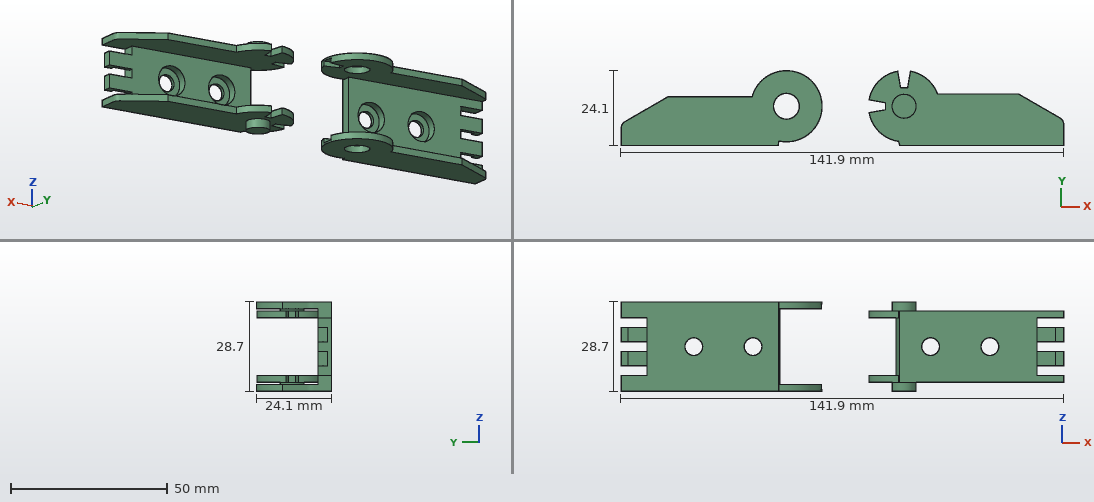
import cadquery as cq
import math


plate_thickness = 4.35
arm_thickness = 2.25
inner_width = 18.4
slope_angle = math.radians(30)
corner_radius = 2.5
pivot_height = 12.65
ear_radius = 11.45

socket_width = 28.7
socket_pivot_x = 53.0
socket_arm_height = 15.7
socket_slope_start_x = 15.0
socket_plate_end = 50.4
socket_plate_end_lean = 0.5
socket_bore_diameter = 8.2

pin_link_end = 141.9
pin_link_width = inner_width + 2 * arm_thickness
pin_pivot_x = 90.7
pin_arm_height = 16.6
pin_slope_start_x = 127.4
pin_plate_end = 89.3
pin_plate_end_lean = 1.2
pin_diameter = 7.7

notch_floor_radius = 6.0
notch_floor_width = 2.2
notch_mouth_width = 4.1
socket_notch_depth = 1.6
socket_notch_angles = (0,)
pin_notch_angles = (90, 180)

screw_diameter = 5.6
screw_land = 1.3
screw_head_diameter = 10.0
screw_spacing = 19.0
socket_first_screw_x = 23.3
pin_first_screw_x = 99.2

finger_count = 2
finger_gap = 3.0
finger_width = (inner_width - (finger_count + 1) * finger_gap) / finger_count
finger_pitch = finger_width + finger_gap
finger_tip_front = 1.3
finger_root_front = 2.7
socket_slot_depth = 8.25
socket_finger_tip = 2.2
pin_slot_depth = 8.6
pin_finger_tip = 2.6


def prism(points, width):
    """Extrude an XY outline symmetrically about Z = 0."""
    return cq.Workplane("XY").polyline(points).close().extrude(width / 2, both=True)


def disc(x, radius, width):
    """Cylinder on a pivot axis, symmetric about Z = 0."""
    return cq.Workplane("XY").center(x, pivot_height).circle(radius).extrude(width / 2, both=True)


def side_arms(free_x, slope_x, pivot_x, arm_height, plate_end, plate_lean, width, gap):
    """Pair of arms with a sloped, rounded free end and a round ear at the pivot."""
    ear_bottom = pivot_height - ear_radius
    heel_x = plate_end + plate_lean * ear_bottom / plate_thickness
    slope_drop = abs(slope_x - free_x) * math.tan(slope_angle)
    corner_height = arm_height - slope_drop
    outline = [
        (free_x, 0),
        (plate_end, 0),
        (heel_x, ear_bottom),
        (pivot_x, pivot_height),
        (pivot_x, arm_height),
        (slope_x, arm_height),
        (free_x, corner_height),
    ]
    corner = cq.NearestToPointSelector((free_x, corner_height, 0))
    arms = prism(outline, width).edges(corner).fillet(corner_radius)
    arms = arms.union(disc(pivot_x, ear_radius, width))
    opening = cq.Workplane("XY").box(2 * pin_link_end, 4 * pivot_height, gap)
    return arms.cut(opening)


def back_plate(free_x, plate_end, plate_lean, width):
    """Plate across the arms, with a leaning edge beside the pivot."""
    return prism(
        [
            (free_x, 0),
            (plate_end, 0),
            (plate_end + plate_lean, plate_thickness),
            (free_x, plate_thickness),
        ],
        width,
    )


def cut_screw_holes(link, first_x):
    """Two through holes along the middle of the back plate, counterbored from the inside."""
    for x in (first_x, first_x + screw_spacing):
        hole = cq.Workplane("XZ").center(x, 0).circle(screw_diameter / 2).extrude(-plate_thickness)
        head = (
            cq.Workplane("XZ", origin=(0, screw_land, 0))
            .center(x, 0)
            .circle(screw_head_diameter / 2)
            .extrude(screw_land - plate_thickness)
        )
        link = link.cut(hole).cut(head)
    return link


def add_fingers(link, free_x, inward, slot_depth, tip_length):
    """Open the plate end and put hooked fingers in it; inward is +1 or -1 along X."""
    slot_x = free_x + inward * slot_depth
    tip_x = free_x + inward * tip_length
    slot = prism(
        [(free_x, 0), (slot_x, 0), (slot_x, plate_thickness), (free_x, plate_thickness)],
        inner_width,
    )
    link = link.cut(slot)
    finger = prism(
        [
            (free_x, finger_tip_front),
            (tip_x, finger_tip_front),
            (tip_x, finger_root_front),
            (slot_x, finger_root_front),
            (slot_x, plate_thickness),
            (free_x, plate_thickness),
        ],
        finger_width,
    )
    for index in range(finger_count):
        offset = (index - (finger_count - 1) / 2) * finger_pitch
        link = link.union(finger.translate((0, 0, offset)))
    return link


def cut_ear_notches(link, pivot_x, angles, width):
    """Tapered notches around the pivot, at angles from +X, cut over a width centred on Z = 0."""
    notch = prism(
        [
            (notch_floor_radius, -notch_floor_width / 2),
            (ear_radius, -notch_mouth_width / 2),
            (ear_radius, notch_mouth_width / 2),
            (notch_floor_radius, notch_floor_width / 2),
        ],
        width,
    )
    for angle in angles:
        turned = notch.rotate((0, 0, 0), (0, 0, 1), angle)
        link = link.cut(turned.translate((pivot_x, pivot_height, 0)))
    return link


def make_socket_link():
    """Wide link with a bore through each ear."""
    gap = socket_width - 2 * arm_thickness
    notch_span = gap + 2 * socket_notch_depth
    link = side_arms(
        0, socket_slope_start_x, socket_pivot_x, socket_arm_height,
        socket_plate_end, socket_plate_end_lean, socket_width, gap,
    )
    link = link.union(back_plate(0, socket_plate_end, socket_plate_end_lean, socket_width))
    link = link.cut(disc(socket_pivot_x, socket_bore_diameter / 2, socket_width))
    link = cut_ear_notches(link, socket_pivot_x, socket_notch_angles, notch_span)
    link = cut_screw_holes(link, socket_first_screw_x)
    return add_fingers(link, 0, 1, socket_slot_depth, socket_finger_tip)


def make_pin_link():
    """Narrow link with notched ears and a pin on the outside of each ear."""
    link = side_arms(
        pin_link_end, pin_slope_start_x, pin_pivot_x, pin_arm_height,
        pin_plate_end, -pin_plate_end_lean, pin_link_width, inner_width,
    )
    link = link.union(back_plate(pin_link_end, pin_plate_end, -pin_plate_end_lean, pin_link_width))
    link = cut_ear_notches(link, pin_pivot_x, pin_notch_angles, pin_link_width)
    pins = disc(pin_pivot_x, pin_diameter / 2, socket_width)
    pins = pins.cut(disc(pin_pivot_x, pin_diameter, pin_link_width))
    link = link.union(pins)
    link = cut_screw_holes(link, pin_first_screw_x)
    return add_fingers(link, pin_link_end, -1, pin_slot_depth, pin_finger_tip)


socket_link = make_socket_link()
pin_link = make_pin_link()

result = cq.Compound.makeCompound([socket_link.val(), pin_link.val()])